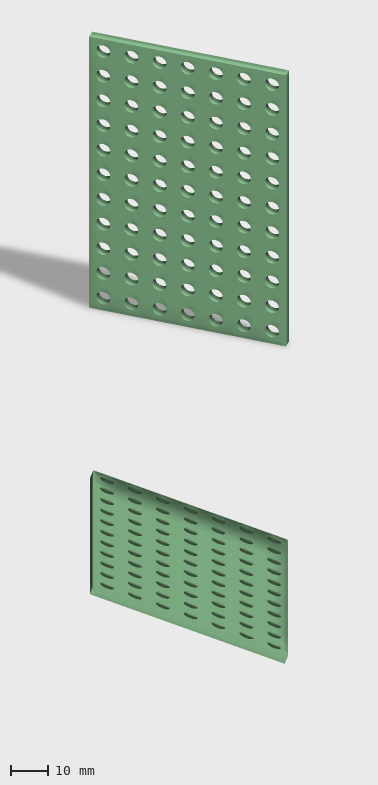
import cadquery as cq

pitch = 8.0
columns = 7
rows = 11
thickness = 2.5
hole_diameter = 4.0

width = columns * pitch
height = rows * pitch


def make_plate():
    """Flat plate standing in the XZ plane, centred on the origin."""
    return cq.Workplane("XY").box(width, thickness, height)


def drill_hole_grid(plate):
    """Drill the full grid of holes through the plate along Y."""
    return (
        plate.faces("<Y")
        .workplane(centerOption="CenterOfBoundBox")
        .rarray(pitch, pitch, columns, rows)
        .hole(hole_diameter)
    )


result = drill_hole_grid(make_plate())